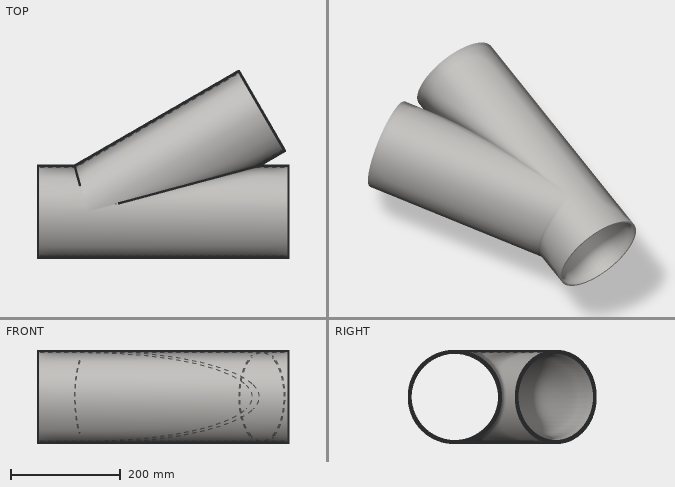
import cadquery as cq

run_length = 457.0
outer_diameter = 168.2
inner_diameter = 161.5
branch_angle = 30.0
branch_start = 89.5
branch_length = 368.0


def run_cylinder(diameter):
    """Cylinder along the run axis (+X)."""
    return cq.Workplane("YZ").circle(diameter / 2).extrude(run_length)


def branch_cylinder(diameter):
    """Cylinder from the axis crossing to the open end of the branch."""
    crossing = (branch_start, 0, 0)
    return (
        cq.Workplane("YZ")
        .circle(diameter / 2)
        .extrude(branch_length)
        .rotate((0, 0, 0), (0, 0, 1), branch_angle)
        .translate(crossing)
    )


outside = run_cylinder(outer_diameter).union(branch_cylinder(outer_diameter))
bore = run_cylinder(inner_diameter).union(branch_cylinder(inner_diameter))
result = outside.cut(bore)